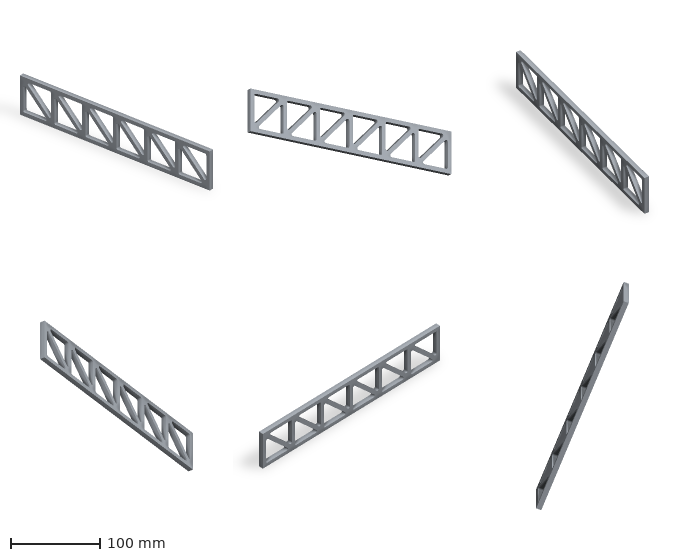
import cadquery as cq
import math

length = 275.0
thickness = 6.0
height = 50.0

bay_count = 6
member_width = 5.0
brace_width = 5.0
corner_radius = 2.0

bay_width = (length - (bay_count + 1) * member_width) / bay_count
bay_height = height - 2 * member_width
bay_pitch = bay_width + member_width

bay_diagonal = math.hypot(bay_width, bay_height)
leg_ratio = 1 - brace_width * bay_diagonal / (2 * bay_width * bay_height)
leg_x = bay_width * leg_ratio
leg_z = bay_height * leg_ratio


def triangular_window(corner_x, corner_z, direction):
    """Rounded triangle cutter; direction +1 or -1 sets which way both legs run from the square corner."""
    return (
        cq.Workplane("XZ")
        .moveTo(corner_x, corner_z)
        .lineTo(corner_x + direction * leg_x, corner_z)
        .lineTo(corner_x, corner_z + direction * leg_z)
        .close()
        .extrude(thickness / 2, both=True)
        .edges("|Y")
        .fillet(corner_radius)
    )


result = cq.Workplane("XY").box(length, thickness, height)

for bay in range(bay_count):
    left = -length / 2 + member_width + bay * bay_pitch
    right = left + bay_width
    result = result.cut(triangular_window(left, -bay_height / 2, 1))
    result = result.cut(triangular_window(right, bay_height / 2, -1))